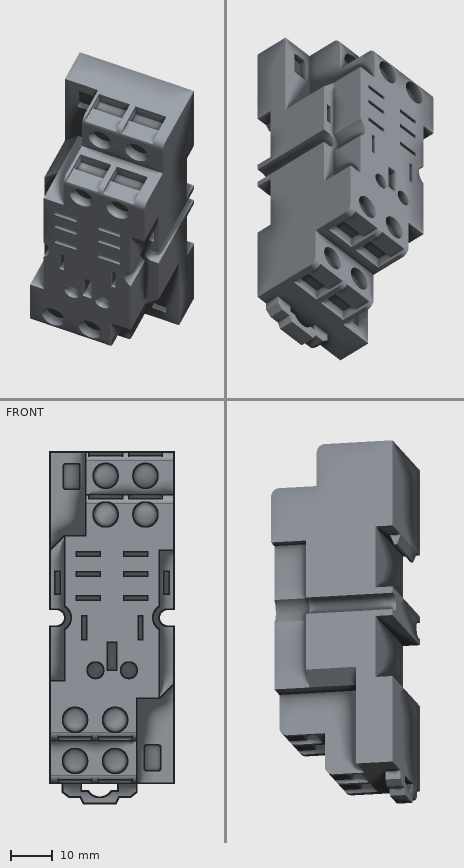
import cadquery as cq
import math

WIDTH = 29.9
DEPTH = 29.9
TOTAL_HEIGHT = 84.6
HEIGHT = 79.8
MID_Z = HEIGHT / 2

STEP_DEPTH = 11.25
STEP_HEIGHT = 10.3
STEP_ROUND = 2.0

TOP_RECESS_WIDTH = 8.7
BOTTOM_RECESS_WIDTH = 9.0
RECESS_DEPTH = 21.0
TOP_RECESS_HEIGHT = 20.1
BOTTOM_RECESS_HEIGHT = 20.5

LEDGE_WIDTH = 3.55
LEDGE_DEPTH = 8.6
LEFT_LEDGE_BOTTOM = 24.7
RIGHT_LEDGE_TOP = 56.1

NOTCH_RADIUS = 2.0
NOTCH_DEPTH = 3.6
COLLAR_RADIUS = 3.2
COLLAR_REACH = 5.2

TOP_COLUMNS = (13.45, 23.0)
BOTTOM_COLUMNS = (6.1, 15.7)
TOP_OUTER_INSET = 5.75
TOP_INNER_INSET = 4.7
BOTTOM_OUTER_INSET = 5.4
BOTTOM_INNER_INSET = 5.0
SCREW_DIAMETER = 6.0
SCREW_DEPTH = 2.5
POCKET_WIDTH = 8.1
POCKET_LENGTH = 8.7
POCKET_DEPTH = 0.9
WELL_LENGTH = 4.0
WELL_DEPTH = 1.4
WELL_INSET = 0.4

WINDOW_WIDTH = 3.9
WINDOW_HEIGHT = 6.2
WINDOW_ROUND = 0.5
WINDOW_DEPTH = 1.5
WINDOW_CENTERS = ((5.25, 73.8), (24.7, 6.2))

SLOT_DEPTH = 5.1
BLADE_LENGTH = 5.75
BLADE_WIDTH = 1.1
BLADE_XS = (9.3, 20.7)
BLADE_ZS = (55.2, 50.4, 44.6)
COIL_XS = (8.3, 21.8)
COIL_Z = 37.5
SIDE_SLOT_WIDTH = 1.4
SIDE_SLOT_HEIGHT = 5.5
SIDE_SLOT_INSET = 1.9
SIDE_SLOT_Z = 48.3
KEY_X = WIDTH / 2
KEY_Z = 30.6
KEY_WIDTH = 2.4
KEY_HEIGHT = 6.7
PIN_XS = (11.0, 19.0)
PIN_Z = 27.2
PIN_DIAMETER = 4.0

RAIL_DEPTH = 4.15
RAIL_HEIGHT = 15.1
UPPER_RAIL_BOTTOM = 43.5
LOWER_RAIL_BOTTOM = 21.2
TOOTH_HEIGHT = 2.4
TOOTH_WIDTH = 2.6
TOOTH_TIP = (0.9, 1.6)
WEDGE_WIDTH = 3.1
WEDGE_HEIGHT = 2.3

TAB_X = 12.0
TAB_WIDTH = 17.9
TAB_THICKNESS = 3.8
TAB_LENGTH = TOTAL_HEIGHT - HEIGHT
TAB_SIDE = 2.0
TAB_SHOULDER = 3.3
TAB_SHOULDER_HALF = 7.4
TAB_NECK_HALF = 4.65
TAB_END_HALF = 3.9
EYE_HALF = 4.4
EYE_SIDE = 1.8
EYE_ARC_HALF = 2.8
EYE_BOTTOM = 3.3


def block(x, y, z):
    """Box given by its (low, high) limits along each axis."""
    size = (x[1] - x[0], y[1] - y[0], z[1] - z[0])
    return cq.Workplane("XY").box(*size, centered=False).translate((x[0], y[0], z[0]))


def front_sketch(y):
    """Workplane facing the front at depth y: local axes are X and Z, extrusion goes backward."""
    return cq.Workplane(cq.Plane(origin=(0, y, 0), xDir=(1, 0, 0), normal=(0, -1, 0)))


def front_slot(x, z, width, height, y=0.0, depth=SLOT_DEPTH):
    return front_sketch(y).center(x, z).rect(width, height).extrude(-depth)


def front_hole(x, z, diameter, y=0.0, depth=SLOT_DEPTH):
    return front_sketch(y).center(x, z).circle(diameter / 2).extrude(-depth)


def housing():
    """Full-height rear part joined with the shorter front part, both rounded at the front."""
    rear = block((0, WIDTH), (STEP_DEPTH, DEPTH), (0, HEIGHT))
    front = block((0, WIDTH), (0, DEPTH), (STEP_HEIGHT, HEIGHT - STEP_HEIGHT))
    rear = rear.edges("|X and <Y").fillet(STEP_ROUND)
    front = front.edges("|X and <Y").fillet(STEP_ROUND)
    return rear.union(front)


def recesses():
    """Opposite corner recesses, each with a slope that runs out to the side."""
    top_z = HEIGHT - TOP_RECESS_HEIGHT
    top = [
        (0, HEIGHT),
        (TOP_RECESS_WIDTH, HEIGHT),
        (TOP_RECESS_WIDTH, top_z),
        (LEDGE_WIDTH, top_z),
        (0, top_z - LEDGE_WIDTH),
    ]
    bottom = [
        (WIDTH, 0),
        (WIDTH - BOTTOM_RECESS_WIDTH, 0),
        (WIDTH - BOTTOM_RECESS_WIDTH, BOTTOM_RECESS_HEIGHT),
        (WIDTH - LEDGE_WIDTH, BOTTOM_RECESS_HEIGHT),
        (WIDTH, BOTTOM_RECESS_HEIGHT + LEDGE_WIDTH),
    ]
    upper = front_sketch(0).polyline(top).close().extrude(-RECESS_DEPTH)
    lower = front_sketch(0).polyline(bottom).close().extrude(-RECESS_DEPTH)
    return upper.union(lower)


def ledges():
    left = block((0, LEDGE_WIDTH), (0, LEDGE_DEPTH), (LEFT_LEDGE_BOTTOM, HEIGHT - TOP_RECESS_HEIGHT))
    right = block((WIDTH - LEDGE_WIDTH, WIDTH), (0, LEDGE_DEPTH), (BOTTOM_RECESS_HEIGHT, RIGHT_LEDGE_TOP))
    return left.union(right)


def screw_notches():
    """Round-ended notch through each side, widened to a collar in front of the ledge."""
    cuts = cq.Workplane("XY")
    arc_inset = NOTCH_DEPTH - NOTCH_RADIUS
    for side, inward in ((0, 1), (WIDTH, -1)):
        arc_x = side + inward * arc_inset
        straight = front_slot(side, MID_Z, 2 * arc_inset, 2 * NOTCH_RADIUS, depth=DEPTH)
        round_end = front_hole(arc_x, MID_Z, 2 * NOTCH_RADIUS, depth=DEPTH)
        collar_x = side + inward * (COLLAR_REACH - COLLAR_RADIUS)
        collar = front_hole(collar_x, MID_Z, 2 * COLLAR_RADIUS, depth=LEDGE_DEPTH)
        cuts = cuts.union(straight).union(round_end).union(collar)
    return cuts


def terminal(x, face_y, end_z, outward, screw_inset):
    """Screw hole plus stepped wire pocket; outward is +1 for an upper end face, -1 for a lower one."""
    screw = front_hole(x, end_z - outward * screw_inset, SCREW_DIAMETER, face_y, SCREW_DEPTH)
    half = POCKET_WIDTH / 2
    floor_z = end_z - outward * POCKET_DEPTH
    back_y = face_y + POCKET_LENGTH
    pocket = block((x - half, x + half), (face_y, back_y), sorted((floor_z, end_z)))
    well_plane = cq.Plane(
        origin=(x, back_y - WELL_LENGTH / 2, floor_z), xDir=(1, 0, 0), normal=(0, 0, -outward)
    )
    slope = math.degrees(math.atan(WELL_INSET / WELL_DEPTH))
    well = cq.Workplane(well_plane).rect(POCKET_WIDTH, WELL_LENGTH).extrude(WELL_DEPTH, taper=slope)
    return screw.union(pocket).union(well)


def terminals():
    cuts = cq.Workplane("XY")
    rows = (
        (STEP_DEPTH, 0, TOP_OUTER_INSET, BOTTOM_OUTER_INSET),
        (0, STEP_HEIGHT, TOP_INNER_INSET, BOTTOM_INNER_INSET),
    )
    for face_y, setback, top_inset, bottom_inset in rows:
        for x in TOP_COLUMNS:
            cuts = cuts.union(terminal(x, face_y, HEIGHT - setback, 1, top_inset))
        for x in BOTTOM_COLUMNS:
            cuts = cuts.union(terminal(x, face_y, setback, -1, bottom_inset))
    return cuts


def label_windows():
    sketch = front_sketch(RECESS_DEPTH).pushPoints(WINDOW_CENTERS).rect(WINDOW_WIDTH, WINDOW_HEIGHT)
    return sketch.extrude(-WINDOW_DEPTH).edges("|Y").fillet(WINDOW_ROUND)


def contact_openings():
    cuts = front_slot(KEY_X, KEY_Z, KEY_WIDTH, KEY_HEIGHT)
    for x in BLADE_XS:
        for z in BLADE_ZS:
            cuts = cuts.union(front_slot(x, z, BLADE_LENGTH, BLADE_WIDTH))
    for x in COIL_XS:
        cuts = cuts.union(front_slot(x, COIL_Z, BLADE_WIDTH, BLADE_LENGTH))
    for x in PIN_XS:
        cuts = cuts.union(front_hole(x, PIN_Z, PIN_DIAMETER))
    for x in (SIDE_SLOT_INSET, WIDTH - SIDE_SLOT_INSET):
        cuts = cuts.union(front_slot(x, SIDE_SLOT_Z, SIDE_SLOT_WIDTH, SIDE_SLOT_HEIGHT, LEDGE_DEPTH))
    return cuts


def rail_channels():
    cuts = cq.Workplane("XY")
    for z in (LOWER_RAIL_BOTTOM, UPPER_RAIL_BOTTOM):
        cuts = cuts.union(block((0, WIDTH), (DEPTH - RAIL_DEPTH, DEPTH), (z, z + RAIL_HEIGHT)))
    return cuts


def rail_hooks():
    """Tooth hanging from the top of the upper channel and wedge on the floor of the lower one."""
    top_z = UPPER_RAIL_BOTTOM + RAIL_HEIGHT
    tooth = [
        (DEPTH, top_z),
        (DEPTH - TOOTH_TIP[0], top_z - TOOTH_HEIGHT),
        (DEPTH - TOOTH_TIP[1], top_z - TOOTH_HEIGHT),
        (DEPTH - TOOTH_WIDTH, top_z),
    ]
    wedge = [
        (DEPTH, LOWER_RAIL_BOTTOM),
        (DEPTH - WEDGE_WIDTH, LOWER_RAIL_BOTTOM),
        (DEPTH - WEDGE_WIDTH, LOWER_RAIL_BOTTOM + WEDGE_HEIGHT),
    ]
    side = cq.Workplane("YZ", origin=(TAB_X - TAB_WIDTH / 2, 0, 0))
    upper = side.polyline(tooth).close().extrude(TAB_WIDTH)
    lower = side.polyline(wedge).close().extrude(TAB_WIDTH)
    return upper.union(lower)


def release_tab():
    """Stepped tab under the housing with a round-bottomed eye for a screwdriver."""
    half = TAB_WIDTH / 2
    outline = [
        (-half, 0),
        (-half, -TAB_SIDE),
        (-TAB_SHOULDER_HALF, -TAB_SHOULDER),
        (-TAB_NECK_HALF, -TAB_SHOULDER),
        (-TAB_END_HALF, -TAB_LENGTH),
        (TAB_END_HALF, -TAB_LENGTH),
        (TAB_NECK_HALF, -TAB_SHOULDER),
        (TAB_SHOULDER_HALF, -TAB_SHOULDER),
        (half, -TAB_SIDE),
        (half, 0),
    ]
    base = front_sketch(DEPTH - TAB_THICKNESS).center(TAB_X, 0)
    tab = base.polyline(outline).close().extrude(-TAB_THICKNESS)
    eye = (
        base.moveTo(-EYE_HALF, 0)
        .lineTo(-EYE_HALF, -EYE_SIDE)
        .lineTo(-EYE_ARC_HALF, -EYE_SIDE)
        .threePointArc((0, -EYE_BOTTOM), (EYE_ARC_HALF, -EYE_SIDE))
        .lineTo(EYE_HALF, -EYE_SIDE)
        .lineTo(EYE_HALF, 0)
        .close()
        .extrude(-TAB_THICKNESS)
    )
    return tab.cut(eye)


result = (
    housing()
    .cut(recesses())
    .cut(ledges())
    .cut(screw_notches())
    .cut(terminals())
    .cut(label_windows())
    .cut(contact_openings())
    .cut(rail_channels())
    .union(rail_hooks())
    .union(release_tab())
)